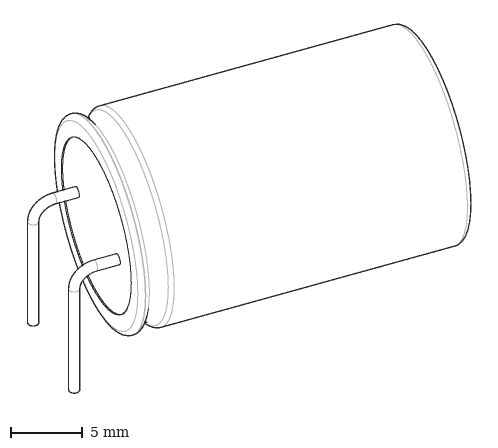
import cadquery as cq
import math


can_diameter = 16.0
can_length = 25.0
edge_radius = 0.4

groove_center = 1.5
groove_radius = 0.8
groove_depth = 0.65

plug_diameter = 0.8 * can_diameter
plug_recess = 0.1

lead_diameter = 0.8
lead_pitch = 7.5
lead_straight = 1.6
bend_radius = 2 * lead_diameter
lead_drop = 11.1

can_radius = can_diameter / 2


def make_can():
    """Revolve the can's half outline (radius, Y) about the Y axis."""
    arc_center_radius = can_radius - groove_depth + groove_radius
    half_width = math.sqrt(groove_radius**2 - (arc_center_radius - can_radius) ** 2)
    outline = (
        cq.Workplane("XY")
        .lineTo(can_radius, 0)
        .lineTo(can_radius, groove_center - half_width)
        .threePointArc(
            (can_radius - groove_depth, groove_center),
            (can_radius, groove_center + half_width),
        )
        .lineTo(can_radius, can_length)
        .lineTo(0, can_length)
        .close()
    )
    can = outline.revolve(360, (0, 0, 0), (0, 1, 0))
    return can.edges(cq.selectors.RadiusNthSelector(-1)).fillet(edge_radius)


def make_plug_recess():
    """Disc removed from the lead face, leaving the plug below the rim."""
    return cq.Workplane("XZ").circle(plug_diameter / 2).extrude(-plug_recess)


def make_lead(x):
    """Round wire from the plug, bent a quarter turn down to its tip."""
    bend_shift = bend_radius * math.sin(math.pi / 4)
    path = (
        cq.Workplane("YZ", origin=(x, 0, 0))
        .moveTo(plug_recess, 0)
        .lineTo(-lead_straight, 0)
        .threePointArc(
            (-lead_straight - bend_shift, bend_shift - bend_radius),
            (-lead_straight - bend_radius, -bend_radius),
        )
        .lineTo(-lead_straight - bend_radius, -lead_drop)
    )
    section = cq.Workplane("XZ", origin=(x, plug_recess, 0)).circle(lead_diameter / 2)
    return section.sweep(path)


result = make_can().cut(make_plug_recess())
for side in (-1, 1):
    result = result.union(make_lead(side * lead_pitch / 2))